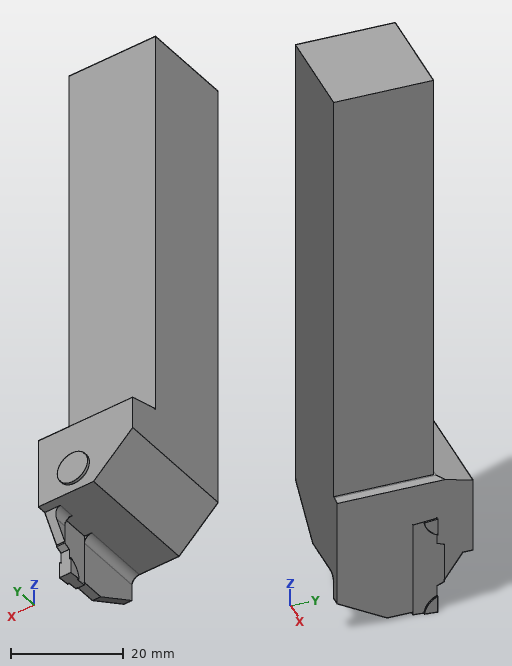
import cadquery as cq

overall_length = 114.3
shank_size = 19.0
ledge_width = 0.3

head_width = 20.7
head_depth = 25.8
head_bottom = 11.5
shoulder_top = 28.6
side_shoulder_edge = 28.2
back_shoulder_edge = 26.7
bevel_width = 8.6
bevel_top = 19.8

blade_thickness = 1.8
blade_bottom = 0.9
blade_root_radius = 1.6
blade_bevel_depth = 9.5
blade_bevel_top = 6.4
blade_root_depth = 23.9
blade_back_bottom = 6.4
blade_face = head_width - blade_thickness

insert_length = 20.2
insert_front = 14.4
insert_back = 20.3
rake_face = 19.0
rake_length = 5.5
rake_step_end = 6.1
tip_relief = 0.3
edge_front = 16.5
edge_height = 3.4
edge_arc_height = 2.6
edge_overhang = 0.3

disc_diameter = 6.6
disc_height = 0.6
disc_x = 12.8
disc_z = 16.5


def extrude_along_x(outline_points, start, width):
    """Extrude a YZ outline from X = start toward +X."""
    return cq.Workplane("YZ", origin=(start, 0, 0)).polyline(outline_points).close().extrude(width)


def make_head_and_blade():
    """Intersect the stepped front outline with the sloping side outline."""
    front_outline = (
        cq.Workplane("XZ")
        .moveTo(0, bevel_top)
        .lineTo(bevel_width, head_bottom)
        .lineTo(blade_face - blade_root_radius, head_bottom)
        .radiusArc((blade_face, head_bottom - blade_root_radius), blade_root_radius)
        .lineTo(blade_face, blade_bottom)
        .lineTo(head_width, blade_bottom)
        .lineTo(head_width, side_shoulder_edge)
        .lineTo(shank_size + ledge_width, shoulder_top)
        .lineTo(0, shoulder_top)
        .close()
        .extrude(-head_depth)
    )
    side_outline = extrude_along_x(
        [
            (0, blade_bevel_top),
            (blade_bevel_depth, blade_bottom),
            (insert_front, blade_bottom),
            (insert_front, blade_back_bottom),
            (insert_back, blade_back_bottom),
            (blade_root_depth, head_bottom),
            (head_depth, head_bottom),
            (head_depth, back_shoulder_edge),
            (shank_size + ledge_width, shoulder_top),
            (0, shoulder_top),
        ],
        0,
        head_width,
    )
    return front_outline.intersect(side_outline)


def make_insert():
    """Plate as thick as the blade, with a wider cutting edge at each end."""
    lower_body = [
        (insert_front, insert_length / 2),
        (insert_front, tip_relief),
        (rake_face, 0),
        (rake_face, rake_length),
        (insert_back, rake_step_end),
        (insert_back, insert_length / 2),
    ]
    edge_bottom = tip_relief * (rake_face - edge_front) / (rake_face - insert_front)
    edge_middle = (rake_face + edge_front) / 2
    edge_outline = (
        cq.Workplane("YZ", origin=(blade_face - edge_overhang, 0, 0))
        .moveTo(rake_face, 0)
        .lineTo(rake_face, edge_height)
        .threePointArc((edge_middle, edge_arc_height), (edge_front, edge_bottom))
        .close()
    )
    cutting_edge = edge_outline.extrude(blade_thickness + 2 * edge_overhang)
    lower_half = extrude_along_x(lower_body, blade_face, blade_thickness).union(cutting_edge)
    upper_half = lower_half.mirror("XY", (0, 0, insert_length / 2))
    return lower_half.union(upper_half).clean()


def make_holder(insert):
    """Join shank, head, blade and screw head, then cut the seat of the insert."""
    shank = cq.Workplane("XY").box(shank_size, shank_size, overall_length - shoulder_top, centered=False)
    shank = shank.translate((0, 0, shoulder_top))
    disc = (
        cq.Workplane("XZ", origin=(disc_x, head_depth, disc_z))
        .circle(disc_diameter / 2)
        .extrude(-disc_height)
    )
    root_relief = cq.Workplane("XY").box(
        blade_face, insert_back - insert_front, head_bottom, centered=False
    )
    root_relief = root_relief.translate((0, insert_front, 0))
    body = make_head_and_blade().union(shank).union(disc)
    return body.cut(root_relief).cut(insert)


insert = make_insert()
holder = make_holder(insert)
result = cq.Compound.makeCompound([holder.val(), insert.val()])